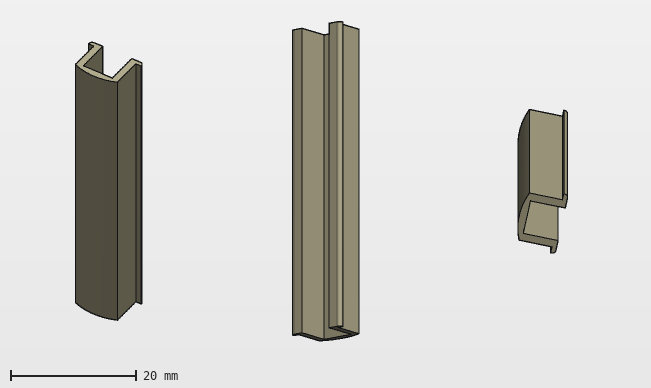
import cadquery as cq

length = 50.0
overall_width = 10.0
overall_depth = 6.95
body_width = 8.0
slot_width = 5.5
slot_depth = 5.7
crown_height = 0.8
lip_thickness = 0.75
lip_round = 0.6

body_x = body_width / 2
slot_x = slot_width / 2
lip_x = overall_width / 2

back_y = overall_depth / 2
crown_y = -overall_depth / 2
corner_y = crown_y + crown_height
lip_y = back_y - lip_thickness
slot_floor_y = back_y - slot_depth


def make_body():
    """Solid bar with a flat back and a bowed front face."""
    return (
        cq.Workplane("XY")
        .moveTo(-body_x, back_y)
        .lineTo(-body_x, corner_y)
        .threePointArc((0, crown_y), (body_x, corner_y))
        .lineTo(body_x, back_y)
        .close()
        .extrude(length)
    )


def make_lips():
    """Full-width flange forming both lips, rounded on the outer back edges."""
    return (
        cq.Workplane("XY")
        .moveTo(-lip_x, lip_y)
        .lineTo(lip_x, lip_y)
        .lineTo(lip_x, back_y - lip_round)
        .radiusArc((lip_x - lip_round, back_y), -lip_round)
        .lineTo(-lip_x + lip_round, back_y)
        .radiusArc((-lip_x, back_y - lip_round), -lip_round)
        .close()
        .extrude(length)
    )


def make_slot():
    """Rectangular slot open to the back and running the full length."""
    return (
        cq.Workplane("XY")
        .moveTo(-slot_x, slot_floor_y)
        .lineTo(slot_x, slot_floor_y)
        .lineTo(slot_x, back_y)
        .lineTo(-slot_x, back_y)
        .close()
        .extrude(length)
    )


result = make_body().union(make_lips()).cut(make_slot())